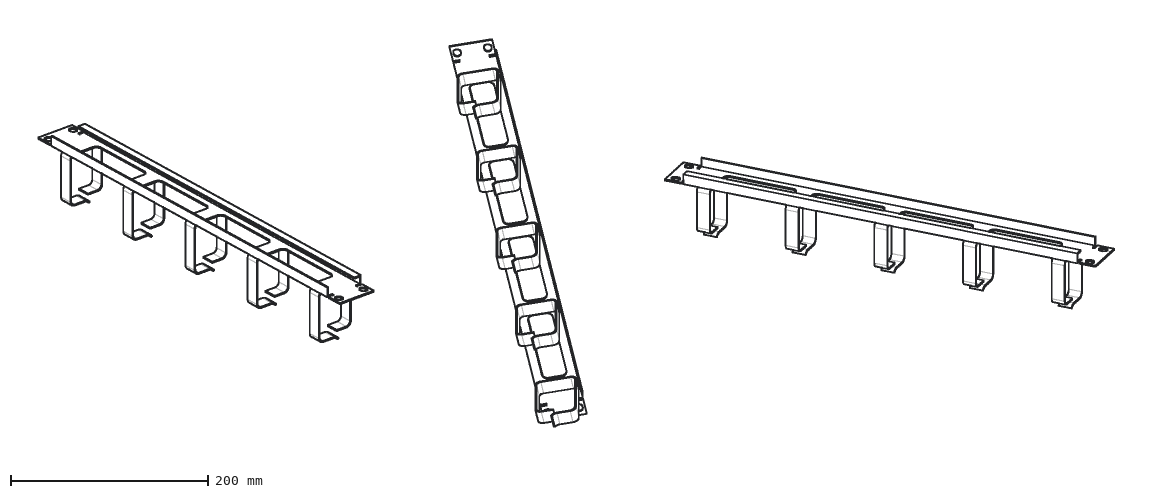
import cadquery as cq
import math

LENGTH = 482.5
WIDTH = 44.5
SHEET = 1.6
FLANGE_HEIGHT = 11.0
FLANGE_LENGTH = 441.0
LIP_WIDTH = 8.5
PANEL_BOTTOM = -FLANGE_HEIGHT

NOTCH_WIDTH = 2.5
NOTCH_DEPTH = 6.8

HOLE_LENGTH = 9.0
HOLE_WIDTH = 7.5
HOLE_SPAN_X = 464.5
HOLE_SPAN_Y = 32.0

RING_COUNT = 5
RING_PITCH = 99.5
RING_WIDTH = 14.5
RING_SPAN = 42.5
STRAP = 1.5
TOP_BEND_RADIUS = 6.0
FOOT_BEND_RADIUS = 6.5
BACK_LEG_BOTTOM = -63.0
FRONT_LEG_BOTTOM = -70.0
BACK_FOOT_END = 2.5
FRONT_FOOT_END = -1.5
TIP_ANGLE = 60.0
TOTAL_HEIGHT = 73.0

WINDOW_LENGTH = 81.0
WINDOW_WIDTH = 25.5
WINDOW_RADIUS = 6.0


def centred_positions(count):
    """X positions of a row of features at the ring pitch, centred on x = 0."""
    return [(i - (count - 1) / 2) * RING_PITCH for i in range(count)]


def block(x_size, y_min, y_max, z_min, z_max):
    """Box centred on x = 0 between the given Y and Z limits."""
    return cq.Workplane("XY").box(
        x_size, y_max - y_min, z_max - z_min, centered=(True, False, False)
    ).translate((0, y_min, z_min))


def make_panel():
    """Flat panel with two upturned edges, the back one ending in an inward lip."""
    edge = WIDTH / 2
    plate = block(LENGTH, -edge, edge, PANEL_BOTTOM, PANEL_BOTTOM + SHEET)
    front_flange = block(FLANGE_LENGTH, -edge, -edge + SHEET, PANEL_BOTTOM, 0)
    back_flange = block(FLANGE_LENGTH, edge - SHEET, edge, PANEL_BOTTOM, 0)
    lip = block(FLANGE_LENGTH, edge - LIP_WIDTH, edge, -SHEET, 0)
    return plate.union(front_flange).union(back_flange).union(lip)


def make_cutters():
    """Windows, mounting holes and relief notches, all passing through the panel."""
    base = cq.Workplane("XY").workplane(offset=PANEL_BOTTOM)
    windows = (
        base.pushPoints([(x, 0) for x in centred_positions(RING_COUNT - 1)])
        .rect(WINDOW_LENGTH, WINDOW_WIDTH)
        .extrude(SHEET)
        .edges("|Z")
        .fillet(WINDOW_RADIUS)
    )
    holes = (
        base.rect(HOLE_SPAN_X, HOLE_SPAN_Y, forConstruction=True)
        .vertices()
        .slot2D(HOLE_LENGTH, HOLE_WIDTH)
        .extrude(SHEET)
    )
    notches = (
        base.rect(FLANGE_LENGTH + NOTCH_WIDTH, WIDTH, forConstruction=True)
        .vertices()
        .rect(NOTCH_WIDTH, 2 * NOTCH_DEPTH)
        .extrude(SHEET)
    )
    return windows.union(holes).union(notches)


def add_bend(path, start, mid, end):
    """Run straight to start, then round a bend through mid to end."""
    return path.lineTo(*start).threePointArc(mid, end)


def make_ring():
    """Open strap ring centred on x = 0: a short back foot and a longer, lower front foot."""
    half = STRAP / 2
    side = RING_SPAN / 2 - half
    top = PANEL_BOTTOM - half
    back_foot = BACK_LEG_BOTTOM + half
    front_foot = FRONT_LEG_BOTTOM + half
    top_radius = TOP_BEND_RADIUS - half
    foot_radius = FOOT_BEND_RADIUS - half

    gap_ratio = 1 - math.sqrt(0.5)
    top_gap = top_radius * gap_ratio
    foot_gap = foot_radius * gap_ratio

    angle = math.radians(TIP_ANGLE)
    tip_drop = TOTAL_HEIGHT + front_foot - half * math.cos(angle)
    tip_radius = tip_drop / (1 - math.cos(angle))

    def tip_point(turn):
        """Point on the tip's centre line after turning down by the given angle."""
        return (
            FRONT_FOOT_END + tip_radius * math.sin(turn),
            front_foot - tip_radius * (1 - math.cos(turn)),
        )

    path = cq.Workplane("YZ").moveTo(BACK_FOOT_END, back_foot)
    path = add_bend(
        path,
        (side - foot_radius, back_foot),
        (side - foot_gap, back_foot + foot_gap),
        (side, back_foot + foot_radius),
    )
    path = add_bend(
        path,
        (side, top - top_radius),
        (side - top_gap, top - top_gap),
        (side - top_radius, top),
    )
    path = add_bend(
        path,
        (top_radius - side, top),
        (top_gap - side, top - top_gap),
        (-side, top - top_radius),
    )
    path = add_bend(
        path,
        (-side, front_foot + foot_radius),
        (foot_gap - side, front_foot + foot_gap),
        (foot_radius - side, front_foot),
    )
    path = add_bend(path, (FRONT_FOOT_END, front_foot), tip_point(angle / 2), tip_point(angle))

    section = cq.Workplane("XZ", origin=(0, BACK_FOOT_END, back_foot)).rect(RING_WIDTH, STRAP)
    return section.sweep(path)


result = make_panel().cut(make_cutters())
ring = make_ring()
for ring_x in centred_positions(RING_COUNT):
    result = result.union(ring.translate((ring_x, 0, 0)))